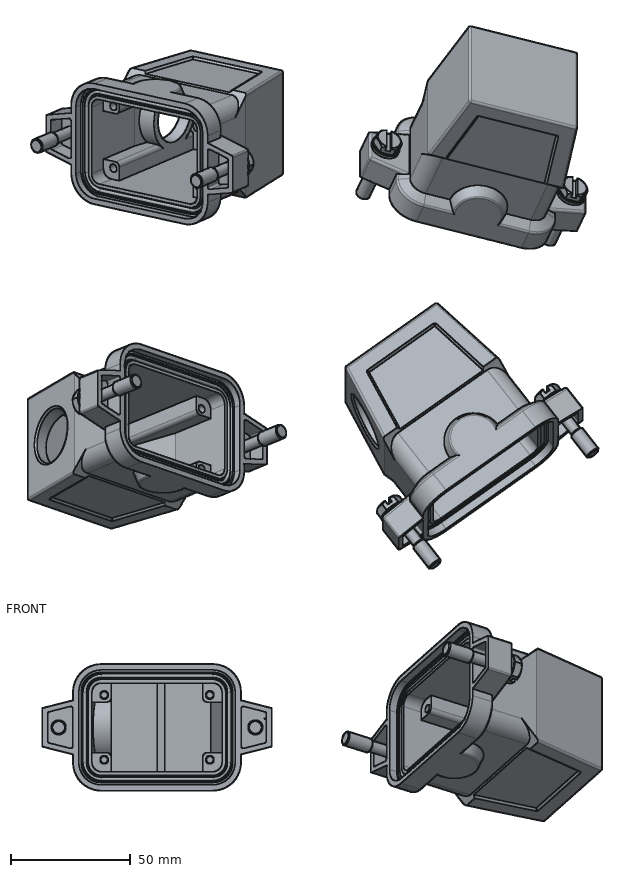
import cadquery as cq
import math


length_x = 96.0
hood_depth = 70.0

core_half_x = 23.2
core_half_z = 14.6
flange_radius = 11.9
body_radius = 6.8
wall = 2.9
cavity_radius = body_radius - wall

flange_wall_depth = 9.7
flange_depth = 12.0
flange_edge_fillet = 1.1

recess_radius = 9.4
recess_depth = 3.6
groove_outer_radius = 8.4
groove_inner_radius = 5.5
groove_depth = 1.5
bead_radius = 0.9
bead_rise = 0.6

housing_half_z = 23.0
taper_start = 34.0
taper_run = 6.1
housing_start = 35.3
housing_fillet = 1.0

panel_depth = 1.0
panel_flare_angle = 45
panel_back = 62.1
panel_floor_half_back = 17.1
panel_floor_half_front = 21.6

floor_deep = 65.3
floor_step = 3.2

post_x = 19.1
post_z = 10.6
post_front = 12.1
post_fillet = 1.9
post_hole_x = 22.1
post_hole_z = 13.5
post_hole_bottom_radius = 1.4
post_hole_mouth_radius = 1.7
post_hole_depth = 9.6

entry_y = 51.7
entry_radius = 11.7
entry_chamfer = 0.9
collar_radius = 14.8

boss_y = 11.9
boss_base_radius = 12.4
boss_top_radius = 10.3
boss_fillet = 0.8

lug_depth = 11.9
lug_tip_half_z = 8.1
lug_root_half_z = 11.3
lug_overlap = 4.8
lug_wall = 2.3
lug_pocket_depth = 7.9
lug_tip_fillet = 0.8
lug_back_fillet = 1.2
pocket_fillet = 1.0

screw_x = 41.1
shank_radius = 2.4
thread_radius = 3.1
thread_start = -4.6
screw_tip = -16.6
thread_chamfer = 0.5
washer_radius = 6.0
washer_top = 13.2
neck_radius = 5.6
head_bottom = 13.6
head_top = 17.5
head_sides = 6
head_corner_width = 12.0
head_chamfer = 1.0
slot_width = 2.1
slot_depth = 2.1

margin = 0.5

half_x = length_x / 2
flange_half_x = core_half_x + flange_radius
body_half_x = core_half_x + body_radius
body_half_z = core_half_z + body_radius
flange_half_z = core_half_z + flange_radius
cavity_half_z = core_half_z + cavity_radius
taper_slope = taper_run / (hood_depth - taper_start)
floor_shallow = floor_deep - floor_step
underside_front = housing_start - (housing_half_z - core_half_z)
panel_floor_front = housing_start - panel_depth


def prism(radius, y_start, y_end, taper=0):
    """Rounded rectangle grown from the mouth core by a radius, between two depths along +Y."""
    outline = cq.Sketch().rect(2 * (core_half_x + radius), 2 * (core_half_z + radius))
    outline = outline.vertices().fillet(radius)
    plane = cq.Plane(origin=(0, y_start, 0), xDir=(-1, 0, 0), normal=(0, 1, 0))
    return cq.Workplane(plane).placeSketch(outline).extrude(y_end - y_start, taper=taper)


def plan_prism(points, half_z):
    """Outline in X and Y, extruded evenly to both sides of z = 0."""
    return cq.Workplane("XY").polyline(points).close().extrude(half_z, both=True)


def cylinder_y(x, z, radius, y_start, y_end):
    """Round bar along Y."""
    return cq.Workplane("XZ", origin=(x, y_end, z)).circle(radius).extrude(y_end - y_start)


def mirrored_z(shape):
    """The shape together with its copy on the other side of z = 0."""
    return shape.union(shape.mirror("XY"))


def mirrored_x(shape):
    """The shape together with its copy on the other side of x = 0."""
    return shape.union(shape.mirror("YZ"))


def make_flange():
    slope_height = flange_depth - flange_wall_depth
    slope_angle = math.degrees(math.atan((flange_radius - body_radius) / slope_height))
    straight = prism(flange_radius, 0, flange_wall_depth)
    slope = prism(flange_radius, flange_wall_depth, flange_depth, slope_angle)
    rim = cq.selectors.BoxSelector(
        (-half_x, flange_wall_depth - margin, -half_x), (half_x, flange_wall_depth + margin, half_x)
    )
    return straight.union(slope).edges(rim).fillet(flange_edge_fillet)


def housing_plan(back, inset=0.0):
    """Plan outline of the housing, pulled in by an inset on both sides."""
    front_half = body_half_x - inset
    back_half = front_half - taper_slope * (back - taper_start)
    right = [(front_half, underside_front), (front_half, taper_start), (back_half, back)]
    left = [(-x, y) for x, y in reversed(right)]
    return right + left


def make_housing():
    block = plan_prism(housing_plan(hood_depth), housing_half_z)
    back_edges = block.faces(">Y").edges()
    side_edges = block.faces(">Z or <Z").edges("not |X")
    leaning_edges = side_edges.filter(lambda edge: edge.Center().y > taper_start)
    block = back_edges.add(leaning_edges).fillet(housing_fillet)
    underside = (
        cq.Workplane("YZ")
        .polyline([
            (underside_front, core_half_z),
            (housing_start, housing_half_z),
            (underside_front, housing_half_z),
        ])
        .close()
        .extrude(half_x, both=True)
    )
    return block.cut(mirrored_z(underside))


def make_panels():
    """Trapezoids sunk into both wide faces, their walls flaring outward at 45 degrees."""
    front = underside_front
    slope = (panel_floor_half_front - panel_floor_half_back) / (panel_back - panel_floor_front)
    front_half = panel_floor_half_back + slope * (panel_back - front)
    outline = [
        (-front_half, front), (front_half, front),
        (panel_floor_half_back, panel_back), (-panel_floor_half_back, panel_back),
    ]
    sunk = (
        cq.Workplane("XY", origin=(0, 0, housing_half_z - panel_depth))
        .polyline(outline).close().extrude(panel_depth, taper=-panel_flare_angle)
    )
    return mirrored_z(sunk)


def make_bosses():
    height = flange_half_z - body_half_z
    draft = math.degrees(math.atan((boss_base_radius - boss_top_radius) / height))
    boss = (
        cq.Workplane("XY", origin=(0, boss_y, body_half_z))
        .circle(boss_base_radius).extrude(height, taper=draft)
        .faces(">Z").edges().fillet(boss_fillet)
    )
    behind_mouth = (
        cq.Workplane("XY")
        .box(length_x, hood_depth, flange_half_z, centered=(True, False, False))
    )
    return mirrored_z(boss.intersect(behind_mouth))


def plan_lug(x_inner, x_outer, inset, depth):
    """Trapezoid plate on the mouth plane, narrowing toward +X, its sloped sides inset."""
    slope = (lug_root_half_z - lug_tip_half_z) / (half_x - flange_half_x)
    inner_half = lug_tip_half_z + slope * (half_x - x_inner) - inset
    outer_half = lug_tip_half_z + slope * (half_x - x_outer) - inset
    return (
        cq.Workplane("XZ", origin=(0, depth, 0))
        .polyline([
            (x_inner, -inner_half), (x_outer, -outer_half),
            (x_outer, outer_half), (x_inner, inner_half),
        ])
        .close().extrude(depth)
    )


def make_lugs():
    lug = plan_lug(flange_half_x - lug_overlap, half_x, 0, lug_depth)
    lug = lug.edges(">X and |Y").fillet(lug_tip_fillet)
    lug = lug.faces(">Y").edges("not <X").fillet(lug_back_fillet)
    return mirrored_x(lug)


def make_lug_pockets():
    pocket = plan_lug(flange_half_x, half_x - lug_wall, lug_wall, lug_pocket_depth)
    return mirrored_x(pocket.edges("|Y").fillet(pocket_fillet))


def make_cavity():
    chamber = plan_prism(housing_plan(floor_deep, wall), cavity_half_z)
    shallow_floor = plan_prism(
        [(0, floor_deep), (floor_step, floor_shallow), (half_x, floor_shallow), (half_x, floor_deep)],
        cavity_half_z,
    )
    return prism(cavity_radius, 0, taper_start).union(chamber.cut(shallow_floor))


def make_posts():
    """One block in each corner quadrant, reaching from the cavity into the walls."""
    reach_x = body_half_x - post_x
    reach_z = body_half_z - post_z
    post = (
        cq.Workplane("XY")
        .box(reach_x, hood_depth - post_front, reach_z, centered=False)
        .edges("|Y and <X and <Z").fillet(post_fillet)
        .translate((post_x, post_front, post_z))
    )
    return mirrored_x(mirrored_z(post))


def make_post_holes():
    """Blind holes that narrow slightly with depth, one in each post."""
    narrowing = post_hole_mouth_radius - post_hole_bottom_radius
    draft = math.degrees(math.atan(narrowing / post_hole_depth))
    hole = (
        cq.Workplane("XZ", origin=(post_hole_x, post_front, post_hole_z))
        .circle(post_hole_mouth_radius)
        .extrude(-post_hole_depth, taper=draft)
    )
    return mirrored_x(mirrored_z(hole))


def make_mouth_recess():
    """Rim recess, and below its floor the ring groove."""
    groove_floor = recess_depth + groove_depth
    groove = prism(groove_outer_radius, recess_depth, groove_floor)
    groove = groove.cut(prism(groove_inner_radius, recess_depth, groove_floor))
    return prism(recess_radius, 0, recess_depth).union(groove)


def make_seal_bead():
    """Round cord lying partly sunk in the floor of the groove."""
    middle_radius = (groove_outer_radius + groove_inner_radius) / 2
    bead_y = recess_depth + groove_depth - bead_rise
    ring = prism(middle_radius, 0, bead_y).faces(">Y").wires().val()
    start = (core_half_x + middle_radius, bead_y, 0)
    section = cq.Workplane("XY", origin=start).circle(bead_radius)
    return section.sweep(cq.Workplane(obj=ring), transition="right")


def cylinder_x(radius, x_start, x_end):
    """Round bar along X, centred on the cable entry."""
    return cq.Workplane("YZ", origin=(x_start, entry_y, 0)).circle(radius).extrude(x_end - x_start)


def with_cable_entry(block):
    """The block with a bore along X, chamfered where it meets the leaning -X wall."""
    bored = block.cut(cylinder_x(entry_radius, -half_x, -post_x))
    wall_x = -body_half_x + taper_slope * (entry_y - taper_start)
    mouth = cq.selectors.BoxSelector(
        (wall_x - margin, entry_y - margin, -margin), (wall_x + margin, entry_y + margin, margin)
    )
    return bored.edges(mouth).chamfer(entry_chamfer)


def make_screws():
    shank = cylinder_y(screw_x, 0, shank_radius, thread_start, lug_depth)
    thread = cylinder_y(screw_x, 0, thread_radius, screw_tip, thread_start)
    thread = thread.faces("<Y or >Y").edges().chamfer(thread_chamfer)
    washer = cylinder_y(screw_x, 0, washer_radius, lug_depth, washer_top)
    neck = cylinder_y(screw_x, 0, neck_radius, washer_top, head_bottom)
    head_plane = cq.Workplane("XZ", origin=(screw_x, head_top, 0))
    head = head_plane.polygon(head_sides, head_corner_width).extrude(head_top - head_bottom)
    dome = cylinder_y(screw_x, 0, head_corner_width / 2, head_bottom, head_top)
    head = head.intersect(dome.faces(">Y").edges().chamfer(head_chamfer))
    head = head.cut(head_plane.rect(slot_width, head_corner_width).extrude(slot_depth))
    screw = shank.union(thread).union(washer).union(neck).union(head)
    return mirrored_x(screw)


outer = (
    make_flange()
    .union(prism(body_radius, 0, taper_start))
    .union(with_cable_entry(make_housing().cut(make_panels())))
    .union(make_bosses())
)
collar = cylinder_x(collar_radius, -half_x, -post_x)
void = make_cavity().cut(make_posts()).cut(collar)

result = (
    outer.union(make_lugs())
    .cut(void)
    .cut(make_mouth_recess())
    .cut(make_lug_pockets())
    .cut(make_post_holes())
    .union(make_seal_bead())
    .union(make_screws())
)